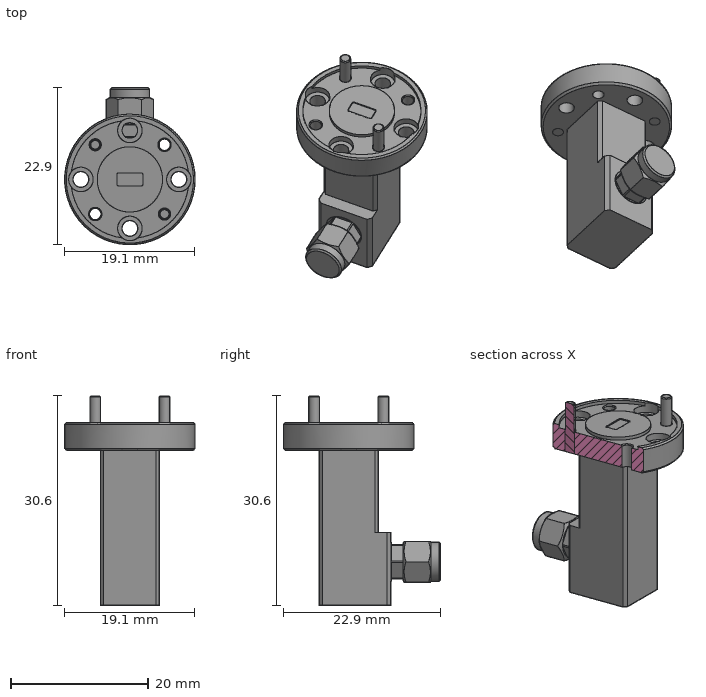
import cadquery as cq
import math


TOTAL_HEIGHT = 30.55
FLANGE_TOP = 26.65
FLANGE_THICKNESS = 4.05
FLANGE_BOTTOM = FLANGE_TOP - FLANGE_THICKNESS

COLUMN_WIDTH = 8.6
COLUMN_CHAMFER = 0.5
STEP_HEIGHT = 10.65
STEP_FACE_Y = 6.15
STEP_CHAMFER = 0.58

FLANGE_DIAMETER = 19.05
FLANGE_TOP_CHAMFER = 0.25
FLANGE_BOTTOM_CHAMFER = 0.3
RECESS_DIAMETER = 17.22
RECESS_DEPTH = 0.5
BOSS_DIAMETER = 9.53
RECESS_FLOOR = FLANGE_TOP - RECESS_DEPTH

WINDOW_LENGTH = 3.8
WINDOW_WIDTH = 1.9
WINDOW_RADIUS = 0.25
WINDOW_DEPTH = 0.18

BOLT_CIRCLE_RADIUS = 7.15
SCREW_HOLE_DIAMETER = 2.25
COUNTERBORE_DIAMETER = 3.57
COUNTERBORE_DEPTH = 1.0
DOWEL_HOLE_DIAMETER = 1.65
DOWEL_HOLE_CHAMFER = 0.15

PIN_DIAMETER = 1.6
PIN_CHAMFER = 0.15
PIN_HOLE_CHAMFER = 0.1

SCREW_ANGLES = (0, 90, 180, 270)
DOWEL_ANGLES = (45, 225)
PIN_ANGLES = (135, 315)

CONNECTOR_Z = 6.35
WASHER_DIAMETER = 5.65
WASHER_THICKNESS = 0.1
NECK_ACROSS_FLATS = 5.0
NUT_ACROSS_FLATS = 6.0
NUT_BACK_Y = 7.95
NUT_FRONT_Y = 11.97
NUT_BACK_FACE_DIAMETER = 5.5
NUT_CHAMFER_ANGLE = 30
COLLAR_DIAMETER = 5.77
COLLAR_END_Y = 13.38
COLLAR_CHAMFER = 0.25


def on_bolt_circle(angle):
    """X and Y of the point on the bolt circle at an angle in degrees."""
    turn = math.radians(angle)
    return BOLT_CIRCLE_RADIUS * math.cos(turn), BOLT_CIRCLE_RADIUS * math.sin(turn)


def cylinder(diameter, bottom, top, center=(0, 0)):
    """Upright cylinder between two heights."""
    return cq.Workplane("XY", origin=(*center, bottom)).circle(diameter / 2).extrude(top - bottom)


def make_column():
    """Square column with chamfered corners and a wider step at its foot."""
    column = (
        cq.Workplane("XY")
        .rect(COLUMN_WIDTH, COLUMN_WIDTH)
        .extrude(FLANGE_BOTTOM)
        .edges("|Z")
        .chamfer(COLUMN_CHAMFER)
    )
    step = (
        cq.Workplane("XY")
        .center(0, STEP_FACE_Y / 2)
        .rect(COLUMN_WIDTH, STEP_FACE_Y)
        .extrude(STEP_HEIGHT)
        .edges("|Z and >Y")
        .chamfer(STEP_CHAMFER)
    )
    return column.union(step)


def make_flange():
    """Chamfered disc whose top has a ring recess around a flush boss."""
    disc = cylinder(FLANGE_DIAMETER, FLANGE_BOTTOM, FLANGE_TOP)
    disc = disc.faces(">Z").chamfer(FLANGE_TOP_CHAMFER)
    disc = disc.faces("<Z").chamfer(FLANGE_BOTTOM_CHAMFER)
    recess = cylinder(RECESS_DIAMETER, RECESS_FLOOR, FLANGE_TOP)
    boss = cylinder(BOSS_DIAMETER, RECESS_FLOOR, FLANGE_TOP)
    return disc.cut(recess.cut(boss))


def make_window():
    """Cutter for the shallow rectangular waveguide opening."""
    return (
        cq.Workplane("XY", origin=(0, 0, FLANGE_TOP - WINDOW_DEPTH))
        .rect(WINDOW_LENGTH, WINDOW_WIDTH)
        .extrude(WINDOW_DEPTH)
        .edges("|Z")
        .fillet(WINDOW_RADIUS)
    )


def make_screw_hole(center):
    """Cutter for a through hole with a counterbore."""
    hole = cylinder(SCREW_HOLE_DIAMETER, FLANGE_BOTTOM, FLANGE_TOP, center)
    counterbore = cylinder(COUNTERBORE_DIAMETER, RECESS_FLOOR - COUNTERBORE_DEPTH, FLANGE_TOP, center)
    return hole.union(counterbore)


def make_chamfered_hole(center, diameter, chamfer):
    """Cutter for a through hole chamfered where it meets the recess floor."""
    radius = diameter / 2
    return (
        cq.Workplane("XZ", origin=(*center, 0))
        .moveTo(0, FLANGE_BOTTOM)
        .lineTo(radius, FLANGE_BOTTOM)
        .lineTo(radius, RECESS_FLOOR - chamfer)
        .lineTo(radius + chamfer, RECESS_FLOOR)
        .lineTo(0, RECESS_FLOOR)
        .close()
        .revolve(360, (0, 0, 0), (0, 1, 0))
    )


def along_connector(y):
    """Workplane across the connector axis at a given Y, facing +Y."""
    return cq.Workplane("XZ", origin=(0, y, CONNECTOR_Z))


def hexagon(across_flats, start, end):
    """Hexagonal bar along +Y with flats at the top and bottom."""
    across_corners = across_flats / math.cos(math.pi / 6)
    return along_connector(start).polygon(6, across_corners).extrude(start - end)


def round_bar(diameter, start, end):
    """Round bar along the connector axis."""
    return along_connector(start).circle(diameter / 2).extrude(start - end)


def make_nut():
    """Hexagonal nut with its corners chamfered at both ends."""
    corner_radius = NUT_ACROSS_FLATS / 2 / math.cos(math.pi / 6)
    back_radius = NUT_BACK_FACE_DIAMETER / 2
    front_radius = COLLAR_DIAMETER / 2
    slope = math.tan(math.radians(NUT_CHAMFER_ANGLE))
    envelope = (
        cq.Workplane("XY", origin=(0, 0, CONNECTOR_Z))
        .moveTo(0, NUT_BACK_Y)
        .lineTo(back_radius, NUT_BACK_Y)
        .lineTo(corner_radius, NUT_BACK_Y + (corner_radius - back_radius) * slope)
        .lineTo(corner_radius, NUT_FRONT_Y - (corner_radius - front_radius) * slope)
        .lineTo(front_radius, NUT_FRONT_Y)
        .lineTo(0, NUT_FRONT_Y)
        .close()
        .revolve(360, (0, 0, 0), (0, 1, 0))
    )
    return hexagon(NUT_ACROSS_FLATS, NUT_BACK_Y, NUT_FRONT_Y).intersect(envelope)


def make_connector():
    """Washer, hexagonal neck with rounded corners, nut and round collar."""
    neck_start = STEP_FACE_Y + WASHER_THICKNESS
    washer = round_bar(WASHER_DIAMETER, STEP_FACE_Y, neck_start)
    neck = hexagon(NECK_ACROSS_FLATS, neck_start, NUT_BACK_Y)
    neck = neck.intersect(round_bar(WASHER_DIAMETER, neck_start, NUT_BACK_Y))
    collar = round_bar(COLLAR_DIAMETER, NUT_FRONT_Y, COLLAR_END_Y).faces(">Y").chamfer(COLLAR_CHAMFER)
    return washer.union(neck).union(make_nut()).union(collar)


def make_housing():
    """Column, flange and connector as one solid, with all its holes."""
    housing = make_column().union(make_flange()).union(make_connector()).cut(make_window())
    for angle in SCREW_ANGLES:
        housing = housing.cut(make_screw_hole(on_bolt_circle(angle)))
    for angle in DOWEL_ANGLES:
        housing = housing.cut(
            make_chamfered_hole(on_bolt_circle(angle), DOWEL_HOLE_DIAMETER, DOWEL_HOLE_CHAMFER)
        )
    for angle in PIN_ANGLES:
        housing = housing.cut(make_chamfered_hole(on_bolt_circle(angle), PIN_DIAMETER, PIN_HOLE_CHAMFER))
    return housing


def make_pin(center):
    """Alignment pin that fills its hole and stands above the flange."""
    return cylinder(PIN_DIAMETER, FLANGE_BOTTOM, TOTAL_HEIGHT, center).faces(">Z").chamfer(PIN_CHAMFER)


housing = make_housing()
pins = [make_pin(on_bolt_circle(angle)).val() for angle in PIN_ANGLES]

result = cq.Compound.makeCompound([housing.val(), *pins])